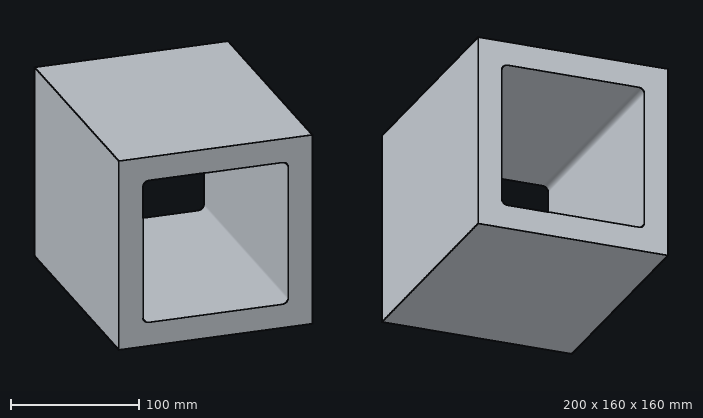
import cadquery as cq

length = 200.0
outer_side = 160.0
wall = 20.0
inner_corner_radius = 5.0

inner_side = outer_side - 2 * wall

body = cq.Workplane("XY").box(length, outer_side, outer_side)

opening = (
    cq.Workplane("XY")
    .box(length, inner_side, inner_side)
    .edges("|X")
    .fillet(inner_corner_radius)
)

result = body.cut(opening)